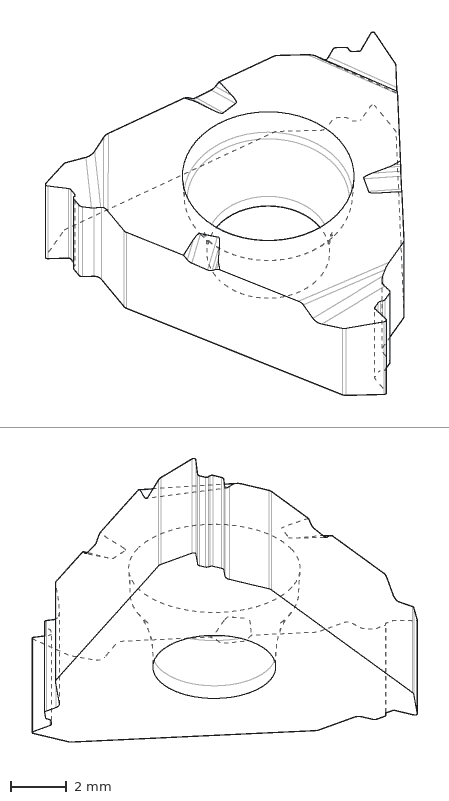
import cadquery as cq
import math

CORNERS = 3
BODY_HEIGHT = 4.11
INSCRIBED_RADIUS = 4.76
BIG = 27.68
ZONE = 8.3

FLANK_ANGLE = 60.0
TIP_RADIUS = 0.08
TIP_CENTRE = (-3.97, -6.82)
VALLEY_Y = -6.17
CREST_Y = -6.34
LAND_Y = -5.76
STEP_X = -3.14
CREST_END_X = -2.56
VALLEY_RADIUS = 0.1
STEP_RADIUS = 0.11
CREST_END_RADIUS = 0.15
LAND_RADIUS = 0.29
SIDE_RADIUS = 0.24

BORE_RADIUS = 4.4 / 2
MOUTH_RADIUS = 3.07
SEAT_RADIUS = 3.02
SEAT_DEPTH = 1.04
FUNNEL_RADIUS = 2.9
FUNNEL_TOP_DEPTH = 1.27
FUNNEL_END_DEPTH = 3.58

RAKE_ANGLE = 14.5
TIP_DEPTH = 0.17
WALL_START_Y = -3.9
WALL_HEADING = -32.0
WALL_SLOPE = 58.0
WALL_FOOT_RADIUS = 0.3
WALL_TOP_RADIUS = 0.2
BREAKER_END_X = -1.52

NOTCH_Y = 0.24
NOTCH_HEADING = 13.5
NOTCH_DEPTH = 0.26
NOTCH_LENGTH = 1.33
NOTCH_FLOOR = 0.83
NOTCH_WALL_ANGLE = 45.0
NOTCH_BEND_HEIGHT = 0.22
NOTCH_RIM_ANGLE = 25.0
NOTCH_FOOT_RADIUS = 0.25
NOTCH_BEND_RADIUS = 0.21


def rotated(x, y, corner):
    """Move a point of the first corner round to another corner."""
    angle = math.radians(360 / CORNERS * corner)
    return (
        x * math.cos(angle) - y * math.sin(angle),
        x * math.sin(angle) + y * math.cos(angle),
    )


def corner_points():
    """Sharp points of one corner, each with its blend radius."""
    sine = math.sin(math.radians(FLANK_ANGLE))
    cosine = math.cos(math.radians(FLANK_ANGLE))
    slope = sine / cosine
    tip_x, tip_y = TIP_CENTRE
    sharp_y = tip_y - TIP_RADIUS / cosine
    side_x = -INSCRIBED_RADIUS
    next_side_x = (INSCRIBED_RADIUS + LAND_Y * sine) / cosine
    return [
        (side_x, sharp_y + (tip_x - side_x) * slope, SIDE_RADIUS),
        (tip_x, sharp_y, TIP_RADIUS),
        (tip_x + (VALLEY_Y - sharp_y) / slope, VALLEY_Y, VALLEY_RADIUS),
        (STEP_X, VALLEY_Y, STEP_RADIUS),
        (STEP_X + (VALLEY_Y - CREST_Y) / slope, CREST_Y, STEP_RADIUS),
        (CREST_END_X, CREST_Y, CREST_END_RADIUS),
        (CREST_END_X + (LAND_Y - CREST_Y) / slope, LAND_Y, LAND_RADIUS),
        (next_side_x, LAND_Y, SIDE_RADIUS),
    ]


def body():
    """Upright prism with blended corners all round."""
    points = []
    radii = []
    for corner in range(CORNERS):
        for x, y, radius in corner_points():
            points.append(rotated(x, y, corner))
            radii.append(radius)
    prism = cq.Workplane("XY").polyline(points).close().extrude(-BODY_HEIGHT)
    for (x, y), radius in zip(points, radii):
        upright = cq.selectors.NearestToPointSelector((x, y, -BODY_HEIGHT / 2))
        prism = prism.edges("|Z").edges(upright).fillet(radius)
    return prism


def hole():
    """Tapered mouth, rounded seat, curved funnel and straight bore."""
    return (
        cq.Workplane("XZ")
        .moveTo(0, 0)
        .lineTo(MOUTH_RADIUS, 0)
        .lineTo(SEAT_RADIUS, -SEAT_DEPTH)
        .tangentArcPoint((FUNNEL_RADIUS, -FUNNEL_TOP_DEPTH), relative=False)
        .threePointArc(funnel_middle(), (BORE_RADIUS, -FUNNEL_END_DEPTH))
        .lineTo(BORE_RADIUS, -BODY_HEIGHT)
        .lineTo(0, -BODY_HEIGHT)
        .close()
        .revolve(360, (0, 0), (0, 1))
    )


def funnel_middle():
    """Midpoint of the funnel arc, which runs tangent into the bore."""
    run = FUNNEL_RADIUS - BORE_RADIUS
    rise = FUNNEL_END_DEPTH - FUNNEL_TOP_DEPTH
    half_sweep = math.atan2(run, rise)
    arc_radius = rise / math.sin(2 * half_sweep)
    return (
        BORE_RADIUS + arc_radius * (1 - math.cos(half_sweep)),
        -FUNNEL_END_DEPTH + arc_radius * math.sin(half_sweep),
    )


def chip_breaker():
    """Material removed in front of the wall and above the rake face."""
    rake = math.radians(RAKE_ANGLE)
    slope = math.radians(WALL_SLOPE)
    heading = math.radians(WALL_HEADING)
    above_rake = (
        cq.Workplane("XY")
        .box(BIG, BIG, BIG, centered=(True, True, False))
        .rotate((0, 0, 0), (1, 0, 0), -RAKE_ANGLE)
        .translate((0, TIP_CENTRE[1] - TIP_RADIUS, -TIP_DEPTH))
    )
    before_wall = (
        cq.Workplane("XY")
        .box(BIG, BIG, BIG, centered=(True, False, True))
        .translate((0, -BIG, 0))
        .rotate((0, 0, 0), (1, 0, 0), WALL_SLOPE - 90)
        .rotate((0, 0, 0), (0, 0, 1), WALL_HEADING)
        .translate((-INSCRIBED_RADIUS, WALL_START_Y, 0))
    )
    top_edge = cq.Vector(math.cos(heading), math.sin(heading), 0)
    wall_normal = cq.Vector(
        math.sin(slope) * math.sin(heading),
        -math.sin(slope) * math.cos(heading),
        math.cos(slope),
    )
    rake_normal = cq.Vector(0, math.sin(rake), math.cos(rake))
    foot_edge = rake_normal.cross(wall_normal)
    zone = (
        cq.Workplane("XY")
        .box(ZONE, ZONE, BODY_HEIGHT, centered=False)
        .translate((BREAKER_END_X - ZONE, -ZONE, -BODY_HEIGHT))
    )
    kept = (
        zone.cut(above_rake.intersect(before_wall))
        .edges(cq.selectors.ParallelDirSelector(foot_edge))
        .fillet(WALL_FOOT_RADIUS)
        .edges(cq.selectors.ParallelDirSelector(top_edge))
        .edges(">Z")
        .fillet(WALL_TOP_RADIUS)
    )
    return zone.cut(kept)


def run_out(rise, angle):
    """Sideways distance of a slope that climbs the given height."""
    return rise / math.tan(math.radians(angle))


def notch():
    """Material removed by the side notch, whose walls ease over into a flatter rim."""
    incline = math.degrees(math.atan2(NOTCH_DEPTH, NOTCH_LENGTH))
    half_floor = NOTCH_FLOOR / 2
    half_bend = half_floor + run_out(NOTCH_BEND_HEIGHT, NOTCH_WALL_ANGLE)
    top = 2 * NOTCH_DEPTH
    half_top = half_bend + run_out(top - NOTCH_BEND_HEIGHT, NOTCH_RIM_ANGLE)
    right_half = [(half_floor, 0), (half_bend, NOTCH_BEND_HEIGHT), (half_top, top)]
    left_half = [(-across, height) for across, height in reversed(right_half)]
    return (
        cq.Workplane("YZ")
        .polyline(right_half + left_half)
        .close()
        .extrude(NOTCH_LENGTH, both=True)
        .edges("|X and <Z")
        .fillet(NOTCH_FOOT_RADIUS)
        .edges(cq.selectors.NearestToPointSelector((0, half_bend, NOTCH_BEND_HEIGHT)))
        .fillet(NOTCH_BEND_RADIUS)
        .edges(cq.selectors.NearestToPointSelector((0, -half_bend, NOTCH_BEND_HEIGHT)))
        .fillet(NOTCH_BEND_RADIUS)
        .rotate((0, 0, 0), (0, 1, 0), -incline)
        .rotate((0, 0, 0), (0, 0, 1), NOTCH_HEADING)
        .translate((-INSCRIBED_RADIUS, NOTCH_Y, -NOTCH_DEPTH))
    )


result = body().cut(hole())
breaker = chip_breaker()
side_notch = notch()
for corner in range(CORNERS):
    turn = 360 / CORNERS * corner
    result = result.cut(breaker.rotate((0, 0, 0), (0, 0, 1), turn))
    result = result.cut(side_notch.rotate((0, 0, 0), (0, 0, 1), turn))